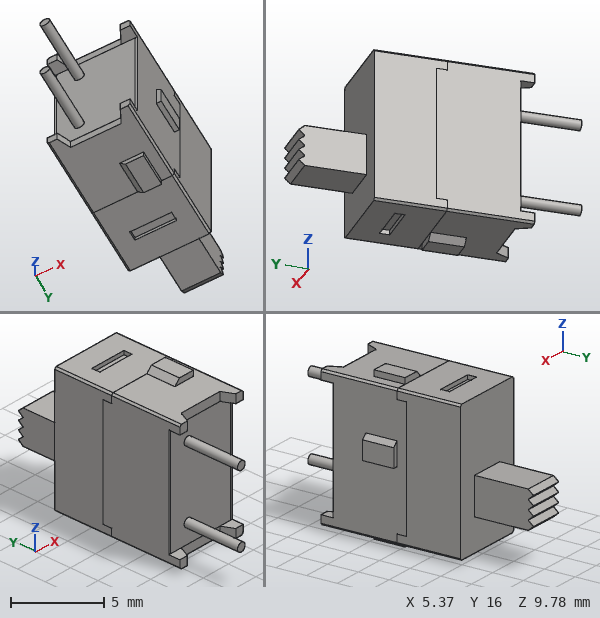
import cadquery as cq


case_width = 5.07
case_height = 9.02
corner_chamfer = 0.13
seam_y = 4.16
cover_top_y = 8.29

end_wall = 0.62
side_wall = 0.13
tongue_length = 0.6
tongue_height = case_height - 2 * end_wall
frame_top_y = seam_y + tongue_length
foot_length = 0.8
foot_root_width = 1.0
foot_tip_width = 0.6

clip_length = 2.03
end_clip_start_x = 0.29
end_clip_ramp = 0.37
end_clip_end_x = 1.76
end_clip_rise = 0.38
side_clip_top_z = 1.5
side_clip_rise = 0.3

recess_width = 2.56
recess_length = 0.58
recess_depth = 0.27
recess_y = 6.43

pin_diameter = 0.6
pin_length = 3.87
pin_x = -1.0
pin_spacing = 5.09

slider_width = 2.4
slider_height = 2.4
slider_tip_y = 12.13
tooth_count = 4
tooth_depth = 0.34


def block(width, height, y_start, y_end):
    """Box centred on X and Z between two Y positions."""
    length = y_end - y_start
    return cq.Workplane("XY").box(width, length, height).translate((0, y_start + length / 2, 0))


def case_block(y_start, y_end):
    """Length of the case with its long edges chamfered."""
    return block(case_width, case_height, y_start, y_end).edges("|Y").chamfer(corner_chamfer)


def both_ends(shape):
    """The shape together with its mirror image on the opposite Z end."""
    return shape.union(shape.mirror("XY"))


def clip(profile):
    """Snap clip with an XZ profile, running down from the seam."""
    return cq.Workplane("XZ", origin=(0, seam_y, 0)).polyline(profile).close().extrude(clip_length)


def make_frame():
    body = case_block(-foot_length, seam_y)
    body = body.union(block(case_width, tongue_height, seam_y, frame_top_y))

    body = body.cut(block(case_width, tongue_height, -foot_length, 0))
    body = body.cut(block(case_width - 2 * side_wall, tongue_height, 0, frame_top_y))

    root_x = case_width / 2 - foot_root_width
    tip_x = case_width / 2 - foot_tip_width
    notch = (
        cq.Workplane("XY")
        .polyline([(-tip_x, -foot_length), (-root_x, 0), (root_x, 0), (tip_x, -foot_length)])
        .close()
        .extrude(case_height / 2, both=True)
    )
    body = body.cut(notch)

    end_z = case_height / 2
    end_clip = clip([
        (end_clip_start_x, end_z),
        (end_clip_start_x + end_clip_ramp, end_z + end_clip_rise),
        (end_clip_end_x, end_z + end_clip_rise),
        (end_clip_end_x, end_z),
    ])
    side_x = case_width / 2
    side_clip = clip([
        (side_x, 0),
        (side_x + side_clip_rise, 0),
        (side_x + side_clip_rise, side_clip_top_z - side_clip_rise),
        (side_x, side_clip_top_z),
    ])
    return body.union(both_ends(end_clip)).union(side_clip)


def make_cover():
    body = case_block(seam_y, cover_top_y)
    body = body.cut(block(case_width, tongue_height, seam_y, frame_top_y))
    recess = (
        cq.Workplane("XY")
        .box(recess_width, recess_length, recess_depth)
        .translate((0, recess_y, case_height / 2 - recess_depth / 2))
    )
    return body.cut(both_ends(recess))


def make_plug():
    body = block(case_width - 2 * side_wall, tongue_height, 0, frame_top_y)
    pins = (
        cq.Workplane("XZ")
        .pushPoints([(pin_x, -pin_spacing / 2), (pin_x, pin_spacing / 2)])
        .circle(pin_diameter / 2)
        .extrude(pin_length)
    )
    return body.union(pins)


def make_slider():
    tooth_pitch = slider_height / tooth_count
    valley_y = slider_tip_y - tooth_depth
    outline = [(cover_top_y, 0), (valley_y, 0)]
    for tooth in range(tooth_count):
        outline.append((slider_tip_y, -(tooth + 0.5) * tooth_pitch))
        outline.append((valley_y, -(tooth + 1) * tooth_pitch))
    outline.append((cover_top_y, -slider_height))
    return cq.Workplane("YZ").polyline(outline).close().extrude(slider_width / 2, both=True)


frame = make_frame()
cover = make_cover()
plug = make_plug()
slider = make_slider()

result = cq.Compound.makeCompound([frame.val(), cover.val(), plug.val(), slider.val()])